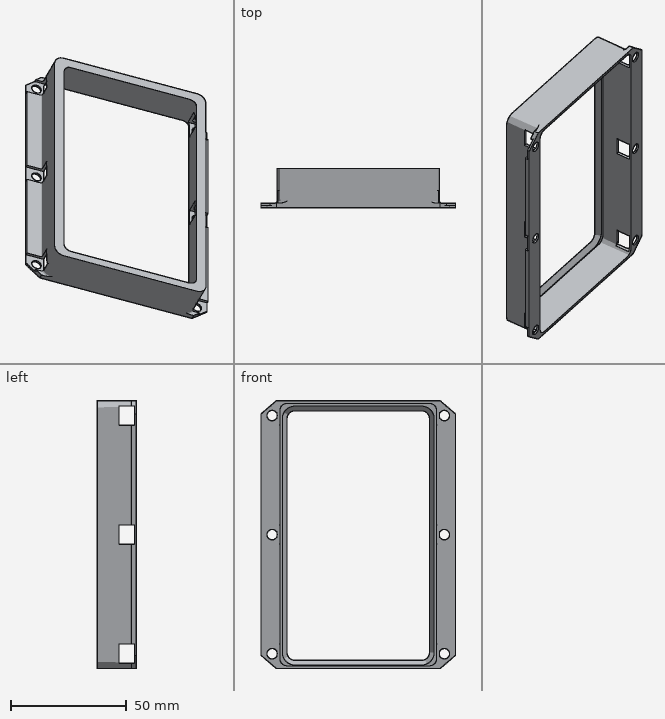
import cadquery as cq

width = 84.3
depth = 17.1
height = 116.0

flange_overhang = 7.0
wall = 1.3
corner_radius = 4.3
tube_width = width - 2 * flange_overhang
cavity_width = tube_width - 2 * wall
cavity_height = height - 2 * wall
cavity_radius = corner_radius - wall

flange_thickness = 2.1
corner_cut_x = 6.7
corner_cut_z = 5.8
root_fillet = 0.8

lip_depth = 2.1
lip_step_side = 1.0
lip_step_top = 1.2
lip_step_bottom = 0.3
bevel_width = lip_depth
lip_width = cavity_width - 2 * lip_step_side
lip_height = cavity_height - lip_step_top - lip_step_bottom
lip_centre_z = (lip_step_bottom - lip_step_top) / 2
lip_radius = 5.3

hole_diameter = 4.4
hole_x = width / 2 - 4.9
hole_z = height / 2 - 6.5
slot_height = 8.2
slot_front = 0.9
slot_back = 7.5


def rounded_block(size_x, size_z, radius, front, back):
    """Block between two Y positions with its four Y-direction edges rounded."""
    block = cq.Workplane("XY").box(size_x, back - front, size_z)
    return block.edges("|Y").fillet(radius).translate((0, (front + back) / 2, 0))


def lip_outline(inset):
    """Rounded opening of the lip, moved inward by the given inset."""
    return (
        cq.Sketch()
        .rect(lip_width - 2 * inset, lip_height - 2 * inset)
        .vertices()
        .fillet(lip_radius - inset)
    )


def octagon_prism():
    """Flange outline with its corners cut, extruded over the full depth."""
    x, z = width / 2, height / 2
    outline = [
        (x, z - corner_cut_z), (x - corner_cut_x, z),
        (corner_cut_x - x, z), (-x, z - corner_cut_z),
        (-x, corner_cut_z - z), (corner_cut_x - x, -z),
        (x - corner_cut_x, -z), (x, corner_cut_z - z),
    ]
    return cq.Workplane("XZ").polyline(outline).close().extrude(-depth)


def flanged_tube():
    """Solid tube and flange with a concave root fillet, trimmed to the flange outline."""
    plate = cq.Workplane("XY").box(width, flange_thickness, height + flange_overhang)
    plate = plate.translate((0, flange_thickness / 2, 0))
    body = plate.union(rounded_block(tube_width, height, corner_radius, 0, depth))
    tube_zone = cq.selectors.BoxSelector(
        (-tube_width / 2 - root_fillet, flange_thickness / 2, -height / 2 - root_fillet),
        (tube_width / 2 + root_fillet, flange_thickness + root_fillet, height / 2 + root_fillet),
        boundingbox=True,
    )
    return body.edges(tube_zone).fillet(root_fillet).intersect(octagon_prism())


def bevelled_opening():
    """Opening through the lip, tapering inward to the rear face."""
    narrow_end = lip_outline(bevel_width).moved(cq.Location(cq.Vector(0, 0, -lip_depth)))
    return (
        cq.Workplane("XZ", origin=(0, depth - lip_depth, lip_centre_z))
        .placeSketch(lip_outline(0), narrow_end)
        .loft()
    )


result = flanged_tube()
result = result.cut(rounded_block(cavity_width, cavity_height, cavity_radius, 0, depth - lip_depth))
result = result.cut(bevelled_opening())
for x in (-hole_x, hole_x):
    for z in (-hole_z, 0, hole_z):
        hole = cq.Workplane("XZ").center(x, z).circle(hole_diameter / 2).extrude(-flange_thickness)
        result = result.cut(hole)
for z in (-hole_z, 0, hole_z):
    slot = cq.Workplane("XY").box(width, slot_back - slot_front, slot_height)
    result = result.cut(slot.translate((0, (slot_front + slot_back) / 2, z)))